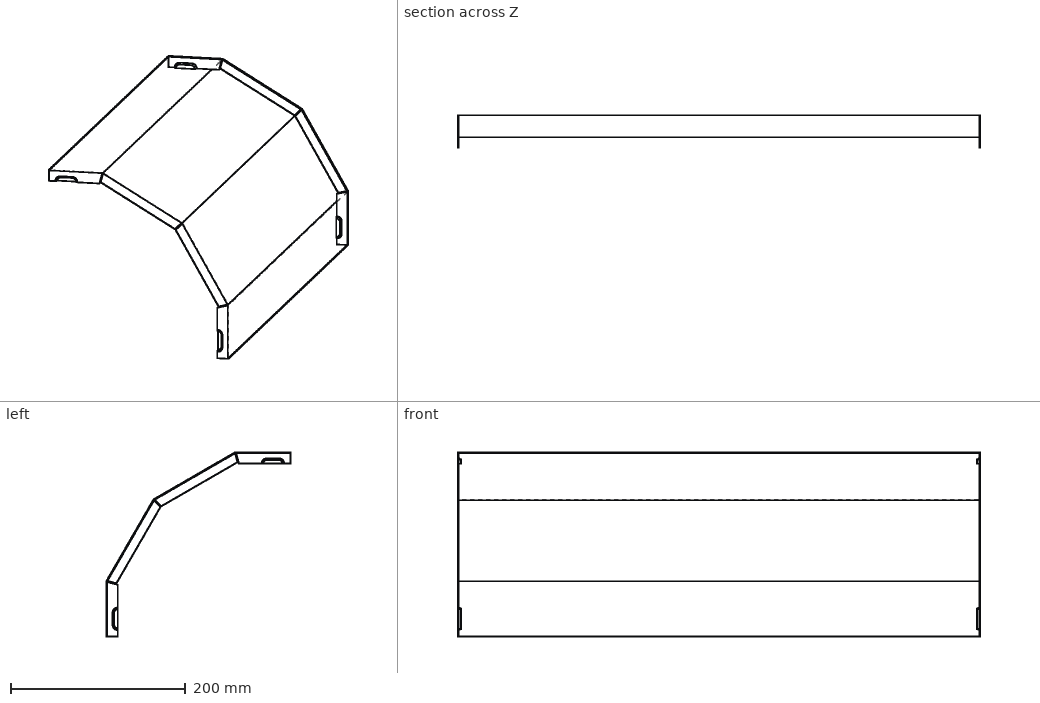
import cadquery as cq
import math


length = 598.0
reach = 211.0
end_panel = 63.5
sheet = 1.0
end_flange = 13.0
slope_flange = 11.5
bend_angle = 30.0
slit_width = 0.9

bump_radius = 6.5
bump_length = 27.0
bump_height = 4.0
bump_draft = 25.0
bump_setback = 20.5

bend = math.radians(bend_angle)
slope_panel = (reach - end_panel) / (math.sin(bend) + math.cos(bend))


def section_points(depth):
    """(Y, Z) points from the foot of the upright panel to the free end of the level panel.

    The outer faces of these two panels lie on Y = 0 and Z = 0. Each bend moves inward
    along its mitre, so every panel is offset from its outer face by `depth`.
    """
    mitre_shift = depth * math.tan(bend / 2)
    lower_bend = (-depth, end_panel - reach - mitre_shift)
    middle = -slope_panel * math.sin(bend) - depth / (math.sqrt(2) * math.cos(bend / 2))
    upper_bend = lower_bend[::-1]
    return [(-depth, -reach), lower_bend, (middle, middle), upper_bend, (-reach, -depth)]


def strip(inner_points, thickness):
    """Plate from the outer skin to `inner_points`, starting at the -X end."""
    outline = section_points(0) + inner_points[::-1]
    return cq.Workplane("YZ", origin=(-length / 2, 0, 0)).polyline(outline).close().extrude(thickness)


def slit(start, end):
    """Gap through the -X flange along the line from `start` to beyond `end`, both (Y, Z)."""
    run = (end[0] - start[0], end[1] - start[1])
    angle = math.degrees(math.atan2(run[1], run[0]))
    cutter = cq.Workplane("XY").box(sheet, 2 * math.hypot(*run), slit_width, centered=(False, False, True))
    return cutter.rotate((0, 0, 0), (1, 0, 0), angle).translate((-length / 2, start[0], start[1]))


def slitted_flange():
    """Flange at the -X end, parted at each bend."""
    wide = section_points(end_flange)
    narrow = section_points(slope_flange)
    flange = strip(wide[:2] + narrow[1:4] + wide[3:], sheet)
    for start, end in list(zip(section_points(sheet), wide))[1:4]:
        flange = flange.cut(slit(start, end))
    return flange


def half_slot(inset):
    """Half of a round-ended slot pressed in from the outer face of the upright panel's flange.

    Its flat, open side lies on the flange's free edge; `inset` shrinks it for the hollow.
    """
    slot_length = bump_length - 2 * inset
    slot_width = 2 * (bump_radius - inset)
    outline = cq.Workplane("YZ").slot2D(slot_length, slot_width, 90)
    slot = outline.extrude(bump_height - inset, taper=bump_draft)
    flange_side = cq.Workplane("XY").box(bump_length, bump_length, bump_length, centered=(True, False, True))
    return slot.intersect(flange_side).translate((-length / 2, -end_flange, bump_setback - reach))


def on_both_panels(shape):
    """The shape on the upright panel and on the level panel."""
    return shape.union(shape.mirror("XY").rotate((0, 0, 0), (1, 0, 0), 90))


flange = slitted_flange()
flange = flange.union(on_both_panels(half_slot(0)))
flange = flange.cut(on_both_panels(half_slot(sheet)))

panels = strip(section_points(sheet), length)
result = panels.union(flange).union(flange.mirror("YZ")).clean()